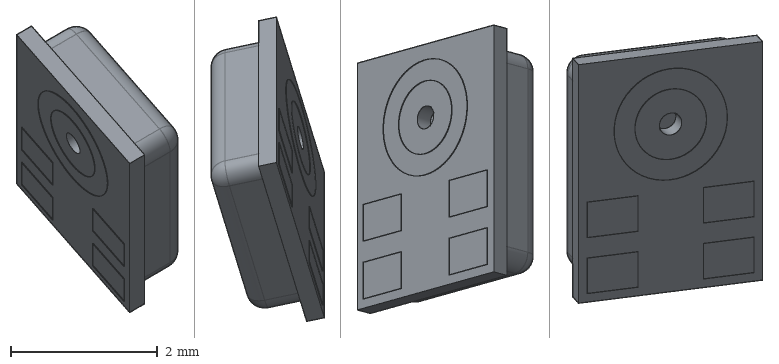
import cadquery as cq

board_width = 2.65
board_height = 3.5
board_thickness = 0.25

lid_width = 2.45
lid_height = 3.1
lid_depth = 0.75
lid_radius = 0.25

contact_thickness = 0.01
pad_width = 0.73
pad_height = 0.52
pad_pitch_x = 1.67
pad_pitch_z = 0.82
pad_group_z = -0.95

port_z = 0.71
port_diameter = 0.32
ring_inner_diameter = 1.03
ring_outer_diameter = 1.63

board_front_y = contact_thickness
board_back_y = board_front_y + board_thickness


def plane_at(y, z=0):
    """XZ work plane at the given Y, centred at height z, extruding toward +Y."""
    return cq.Workplane("XZ", origin=(0, y, z)).transformed(rotate=(180, 0, 0))


def make_board():
    return plane_at(board_front_y).rect(board_width, board_height).extrude(board_thickness)


def make_lid():
    lid = plane_at(board_back_y).rect(lid_width, lid_height).extrude(lid_depth)
    return lid.edges("|Y or >Y").fillet(lid_radius)


def make_pad(x, z):
    return plane_at(0, z).center(x, 0).rect(pad_width, pad_height).extrude(contact_thickness)


def make_ring():
    outline = plane_at(0, port_z).circle(ring_outer_diameter / 2).circle(ring_inner_diameter / 2)
    return outline.extrude(contact_thickness)


def make_port():
    return plane_at(board_front_y, port_z).circle(port_diameter / 2).extrude(board_thickness)


result = make_board().union(make_lid()).union(make_ring())
for side in (-1, 1):
    for level in (-1, 1):
        result = result.union(make_pad(side * pad_pitch_x / 2, pad_group_z + level * pad_pitch_z / 2))

result = result.cut(make_port())